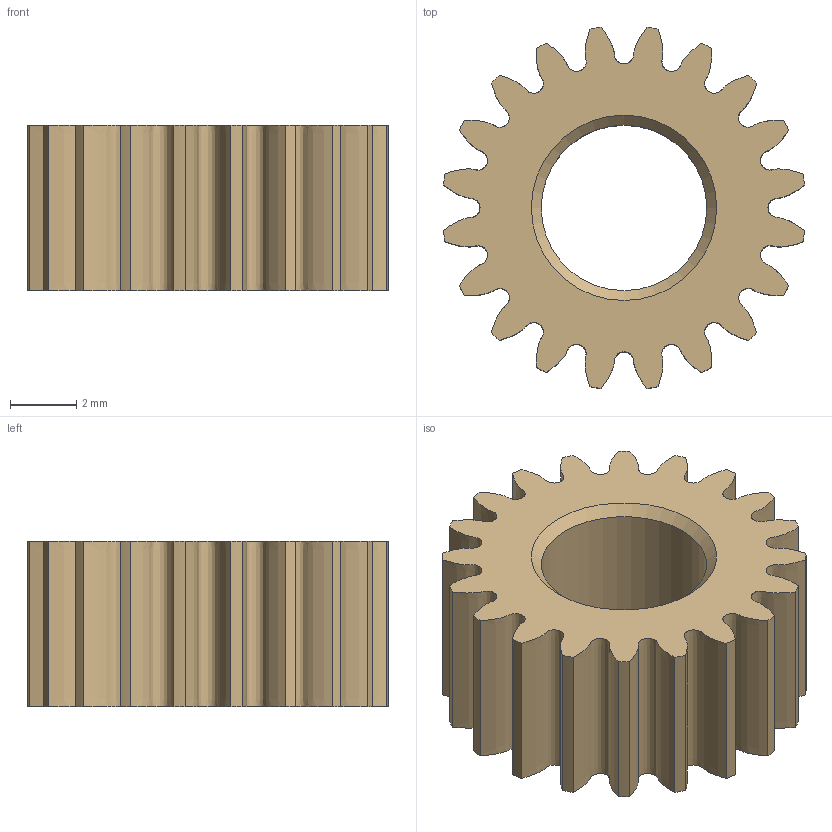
import cadquery as cq
import math

MODULE = 0.5
TEETH = 20
PRESSURE_ANGLE = math.radians(20)
DEDENDUM = 1.3 * MODULE
FACE_WIDTH = 5.0
BORE_RADIUS = 2.5
BORE_CHAMFER = 0.3

FLANK_SPANS = 6
ROOT_SPANS = 8

PITCH_RADIUS = MODULE * TEETH / 2
TIP_RADIUS = PITCH_RADIUS + MODULE
ROOT_RADIUS = PITCH_RADIUS - DEDENDUM
BASE_RADIUS = PITCH_RADIUS * math.cos(PRESSURE_ANGLE)
TOOTH_PITCH = 2 * math.pi / TEETH
TIP_ROLL = math.sqrt((TIP_RADIUS / BASE_RADIUS) ** 2 - 1)

INVOLUTE_AT_PITCH = math.tan(PRESSURE_ANGLE) - PRESSURE_ANGLE
GAP_HALF_ANGLE = TOOTH_PITCH / 4 - INVOLUTE_AT_PITCH

ROUND_RADIUS = ROOT_RADIUS * math.sin(GAP_HALF_ANGLE) / (1 - math.sin(GAP_HALF_ANGLE))
ROUND_CENTER_RADIUS = ROOT_RADIUS + ROUND_RADIUS


def polar(radius, angle):
    return (radius * math.cos(angle), radius * math.sin(angle))


def flank_points(gap_angle, side):
    """Involute flank from base to tip circle; side is -1 or +1 of the gap center."""
    points = []
    for index in range(FLANK_SPANS + 1):
        roll = TIP_ROLL * index / FLANK_SPANS
        radius = BASE_RADIUS * math.hypot(1, roll)
        half_angle = GAP_HALF_ANGLE + roll - math.atan(roll)
        points.append(polar(radius, gap_angle + side * half_angle))
    return points


def root_points(gap_angle):
    """Round gap bottom, from its tangent point on one bounding line to the other."""
    center_x, center_y = polar(ROUND_CENTER_RADIUS, gap_angle)
    sweep = math.pi - 2 * GAP_HALF_ANGLE
    points = []
    for index in range(ROOT_SPANS + 1):
        turn = sweep * (index / ROOT_SPANS - 0.5)
        offset_x, offset_y = polar(ROUND_RADIUS, gap_angle + math.pi - turn)
        points.append((center_x + offset_x, center_y + offset_y))
    return points


def gap_points(gap_angle):
    """Whole tooth gap, counterclockwise from one tooth tip to the next."""
    falling_flank = flank_points(gap_angle, -1)[::-1]
    rising_flank = flank_points(gap_angle, 1)
    return falling_flank + root_points(gap_angle) + rising_flank


def gear_blank():
    """Toothed body, with tooth gaps centered on the X and Y axes."""
    outline = cq.Workplane("XY").moveTo(*gap_points(0)[0])
    for index in range(TEETH):
        gap_angle = index * TOOTH_PITCH
        next_tip_corner = gap_points(gap_angle + TOOTH_PITCH)[0]
        tip_middle = polar(TIP_RADIUS, gap_angle + TOOTH_PITCH / 2)
        outline = outline.spline(gap_points(gap_angle)[1:], includeCurrent=True)
        outline = outline.threePointArc(tip_middle, next_tip_corner)
    return outline.close().extrude(FACE_WIDTH)


def bore_cutter():
    """Through bore that widens to a 45 degree chamfer at the top face."""
    mouth_radius = BORE_RADIUS + BORE_CHAMFER
    half_section = (
        cq.Workplane("XZ")
        .lineTo(BORE_RADIUS, 0)
        .lineTo(BORE_RADIUS, FACE_WIDTH - BORE_CHAMFER)
        .lineTo(mouth_radius, FACE_WIDTH)
        .lineTo(0, FACE_WIDTH)
        .close()
    )
    return half_section.revolve(360, (0, 0, 0), (0, 1, 0))


result = gear_blank().cut(bore_cutter())